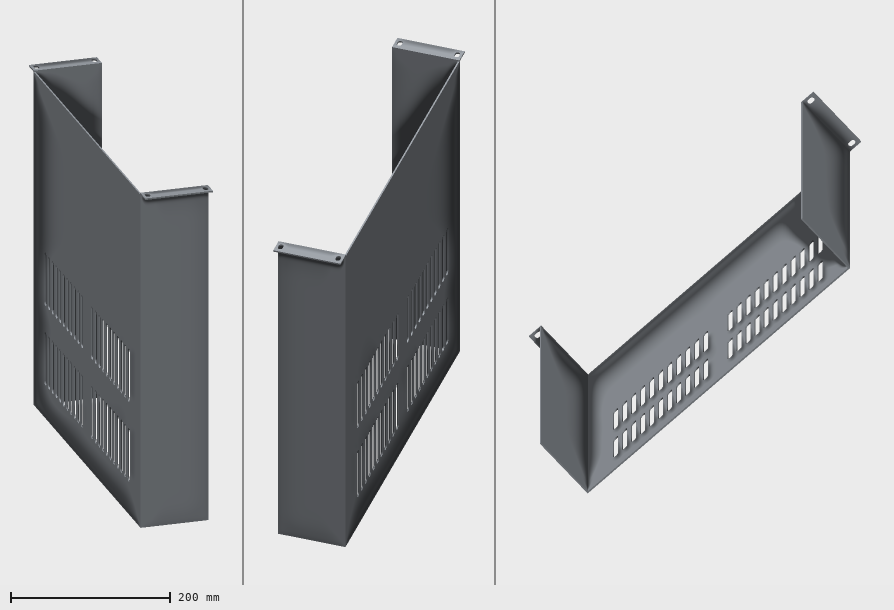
import cadquery as cq

overall_width = 482.0
overall_depth = 89.0
overall_height = 450.0
sheet_thickness = 2.02

body_width = 444.5
body_height = overall_height - sheet_thickness

flange_width = (overall_width - body_width) / 2 + sheet_thickness
flange_center_x = (overall_width - flange_width) / 2
flange_center_y = overall_depth / 2

mount_hole_length = 10.0
mount_hole_width = 6.5
mount_hole_spacing = 76.0
mount_hole_center_x = 231.0

slot_width = 8.5
slot_length = 71.5
slots_per_bank = 11
bank_span = 152.5
slot_pitch = bank_span / (slots_per_bank - 1)
bank_spacing = 194.0
row_spacing = 107.0
lower_row_z = 80.0


def make_body():
    """Front panel and side walls, open at the top, bottom and back."""
    outer = cq.Workplane("XY").box(
        body_width, overall_depth, body_height, centered=(True, False, False)
    )
    inside = (
        cq.Workplane("XY")
        .box(body_width - 2 * sheet_thickness, overall_depth, body_height, centered=(True, False, False))
        .translate((0, sheet_thickness, 0))
    )
    return outer.cut(inside)


def make_flange(side):
    """Flange on one side (-1 left, +1 right) with a hole near each end."""
    return (
        cq.Workplane("XY", origin=(side * flange_center_x, flange_center_y, body_height))
        .rect(flange_width, overall_depth)
        .extrude(sheet_thickness)
        .faces(">Z")
        .workplane(origin=(side * mount_hole_center_x, flange_center_y, overall_height))
        .rarray(5, mount_hole_spacing, 1, 2)
        .slot2D(mount_hole_length, mount_hole_width)
        .cutThruAll()
    )


def make_slot_bank(center_x, center_z):
    """Cutter for one bank of upright slots through the front panel."""
    return (
        cq.Workplane("XZ", origin=(center_x, sheet_thickness, center_z))
        .rarray(slot_pitch, 5, slots_per_bank, 1)
        .slot2D(slot_length, slot_width, 90)
        .extrude(sheet_thickness)
    )


result = make_body()
for side in (-1, 1):
    result = result.union(make_flange(side))
for center_x in (-bank_spacing / 2, bank_spacing / 2):
    for center_z in (lower_row_z, lower_row_z + row_spacing):
        result = result.cut(make_slot_bank(center_x, center_z))